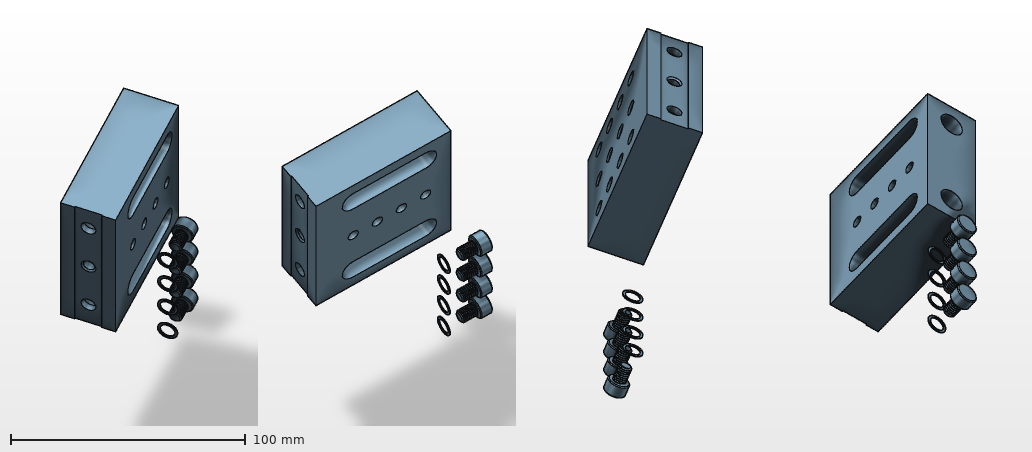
import cadquery as cq
import math

block_width = 25.5
block_depth = 69.8
block_height = 73.0
mid_x = block_width / 2
mid_z = block_height / 2

groove_width = 12.5
groove_depth = 0.5

hole_diameter = 6.8
tap_diameter = 5.2
countersink_depth = (hole_diameter - tap_diameter) / 2
row_pitch = 25.0
column_count = 4
column_pitch = 12.5
first_column_y = 19.3
last_column_y = first_column_y + (column_count - 1) * column_pitch
blind_depth = 12.0
drill_point_angle = 118

bore_diameter = 11.3
side_web = 3.1
front_web = 3.1

overall_height = 154.2
head_diameter = 10.0
fastener_count = 4
fastener_x = block_width - head_diameter / 2
first_fastener_z = -30.4
last_fastener_z = block_height - overall_height + head_diameter / 2
fastener_pitch = (last_fastener_z - first_fastener_z) / (fastener_count - 1)

head_height = 6.0
head_chamfer = 0.5
head_top_y = 91.5
thread_diameter = 6.0
thread_pitch = 1.0
thread_depth = 0.6
cutter_width = 1.0
cutter_runout = 0.54
cutter_height = 0.8
thread_length = 8.0
tip_chamfer = 0.8

washer_outer_diameter = 9.2
washer_inner_diameter = 6.8
washer_thickness = 0.5


def rod_along_x(diameter, x_start, x_end, y, z):
    return (
        cq.Workplane("YZ", origin=(x_start, y, z))
        .circle(diameter / 2)
        .extrude(x_end - x_start)
    )


def rod_along_y(diameter, y_start, y_end, x, z):
    return (
        cq.Workplane("XZ", origin=(x, y_start, z))
        .circle(diameter / 2)
        .extrude(y_start - y_end)
    )


def cone(large_diameter, small_diameter, length, base, direction):
    return cq.Workplane(
        cq.Solid.makeCone(large_diameter / 2, small_diameter / 2, length, base, direction)
    )


def clearance_row(z):
    """Side and front clearance holes of one row, with the wide slot and bore behind them."""
    column_mid_y = (first_column_y + last_column_y) / 2
    cutter = (
        cq.Workplane("YZ", origin=(side_web, column_mid_y, z))
        .slot2D(last_column_y - first_column_y + bore_diameter, bore_diameter)
        .extrude(block_width - side_web)
    )
    for column in range(column_count):
        y = first_column_y + column * column_pitch
        cutter = cutter.union(rod_along_x(hole_diameter, 0, block_width, y, z))
    bore_start = groove_depth + front_web
    cutter = cutter.union(rod_along_y(bore_diameter, bore_start, block_depth, mid_x, z))
    return cutter.union(rod_along_y(hole_diameter, 0, block_depth, mid_x, z))


def tapped_side_hole(y):
    """Through hole along X, countersunk on the -X face."""
    countersink = cone(
        hole_diameter, tap_diameter, countersink_depth, cq.Vector(0, y, mid_z), cq.Vector(1, 0, 0)
    )
    return rod_along_x(tap_diameter, 0, block_width, y, mid_z).union(countersink)


def tapped_front_hole():
    """Blind countersunk hole from the groove floor, ending in a drill point."""
    into_block = cq.Vector(0, 1, 0)
    bottom_y = groove_depth + blind_depth
    point_length = tap_diameter / 2 / math.tan(math.radians(drill_point_angle / 2))
    countersink = cone(
        hole_diameter, tap_diameter, countersink_depth, cq.Vector(mid_x, groove_depth, mid_z), into_block
    )
    drill_point = cone(tap_diameter, 0, point_length, cq.Vector(mid_x, bottom_y, mid_z), into_block)
    return (
        rod_along_y(tap_diameter, groove_depth, bottom_y, mid_x, mid_z)
        .union(countersink)
        .union(drill_point)
    )


def make_block():
    body = cq.Workplane("XY").box(block_width, block_depth, block_height, centered=False)
    groove = (
        cq.Workplane("XY")
        .box(groove_width, groove_depth, block_height, centered=False)
        .translate((mid_x - groove_width / 2, 0, 0))
    )
    body = body.cut(groove)
    for z in (mid_z - row_pitch, mid_z + row_pitch):
        body = body.cut(clearance_row(z))
    for column in range(column_count):
        body = body.cut(tapped_side_hole(first_column_y + column * column_pitch))
    return body.cut(tapped_front_hole())


def make_thread_cutter():
    """V-shaped helical groove around the Z axis, running past both ends of the thread."""
    helix_start = -thread_pitch
    helix_height = thread_length + thread_pitch + cutter_runout
    root_radius = thread_diameter / 2 - thread_depth
    outer_radius = root_radius + cutter_height
    cutter_half_width = cutter_width / 2
    helix = cq.Wire.makeHelix(thread_pitch, helix_height, root_radius, cq.Vector(0, 0, helix_start))
    return (
        cq.Workplane("XZ", origin=(0, 0, helix_start))
        .moveTo(root_radius, 0)
        .lineTo(outer_radius, cutter_half_width)
        .lineTo(outer_radius, -cutter_half_width)
        .close()
        .sweep(cq.Workplane(obj=helix), isFrenet=True)
    )


def make_screw():
    """Cylinder-head screw with its tip at the origin, pointing toward -Y."""
    shank = (
        cq.Workplane("XY")
        .circle(thread_diameter / 2)
        .extrude(thread_length)
        .faces("<Z")
        .chamfer(tip_chamfer)
        .cut(make_thread_cutter())
    )
    head = (
        cq.Workplane("XY", origin=(0, 0, thread_length))
        .circle(head_diameter / 2)
        .extrude(head_height)
        .edges()
        .chamfer(head_chamfer)
    )
    return head.union(shank).rotate((0, 0, 0), (1, 0, 0), -90)


def make_washer():
    """Flat ring with its back face on the plane Y = 0."""
    return (
        cq.Workplane("XZ")
        .circle(washer_outer_diameter / 2)
        .circle(washer_inner_diameter / 2)
        .extrude(washer_thickness)
    )


block = make_block()
screw = make_screw()
washer = make_washer()
screw_tip_y = head_top_y - head_height - thread_length

screws = []
washers = []
for index in range(fastener_count):
    z = first_fastener_z + index * fastener_pitch
    screws.append(screw.translate((fastener_x, screw_tip_y, z)).val())
    washers.append(washer.translate((fastener_x, block_depth, z)).val())

result = cq.Compound.makeCompound([block.val(), *screws, *washers])